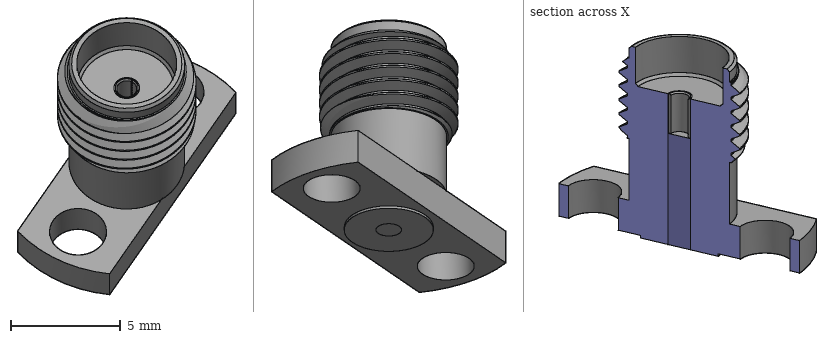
import cadquery as cq
import math

spigot_height = 0.13
flange_thickness = 1.66
flange_top = spigot_height + flange_thickness
thread_bottom = 4.88
thread_top = 8.95
overall_height = 9.58

flange_width = 4.85
flange_length = 12.66
mounting_hole_diameter = 2.6
mounting_hole_spacing = 9.02

spigot_diameter = 4.08
barrel_diameter = 5.3
rim_chamfer = 0.13
bore_diameter = 4.57
bore_depth = 1.95
bore_floor = overall_height - bore_depth
bore_floor_chamfer = 0.13

thread_pitch = 25.4 / 36
thread_diameter = 6.35
thread_root_diameter = 5.45
thread_root_radius = thread_root_diameter / 2
thread_depth = (thread_diameter - thread_root_diameter) / 2
thread_half_angle = math.radians(30)
crest_width = thread_pitch / 8
crest_height_on_x_axis = 5.845
ridge_embed = 0.02

contact_diameter = 1.17
socket_diameter = 0.91
socket_mouth_diameter = 1.05
socket_depth = 2.0
slot_width = 0.05


def cylinder(diameter, bottom, top):
    return cq.Workplane("XY").workplane(offset=bottom).circle(diameter / 2).extrude(top - bottom)


def make_flange():
    bar = cylinder(flange_length, spigot_height, flange_top).intersect(
        cq.Workplane("XY").rect(flange_width, flange_length).extrude(flange_top)
    )
    holes = (
        cq.Workplane("XY")
        .rarray(1, mounting_hole_spacing, 1, 2)
        .circle(mounting_hole_diameter / 2)
        .extrude(flange_top)
    )
    return bar.cut(holes)


def make_thread_ridge():
    """Helical ridge, trimmed at both ends by 45 degree cones that start at the root."""
    turns_below = math.ceil((crest_height_on_x_axis - thread_bottom) / thread_pitch)
    start = crest_height_on_x_axis - turns_below * thread_pitch
    turns = math.ceil((thread_top - start) / thread_pitch) + 1
    base_radius = thread_root_radius - ridge_embed
    half_crest = crest_width / 2
    half_base = half_crest + (thread_depth + ridge_embed) * math.tan(thread_half_angle)

    helix = cq.Wire.makeHelix(thread_pitch, turns * thread_pitch, thread_root_radius, cq.Vector(0, 0, start))
    ridge = (
        cq.Workplane("XZ")
        .moveTo(base_radius, start - half_base)
        .lineTo(thread_diameter / 2, start - half_crest)
        .lineTo(thread_diameter / 2, start + half_crest)
        .lineTo(base_radius, start + half_base)
        .close()
        .sweep(cq.Workplane(obj=helix), isFrenet=True)
    )
    trim = cylinder(thread_diameter + 2 * ridge_embed, thread_bottom, thread_top)
    trim = trim.edges("%CIRCLE").chamfer(thread_depth + ridge_embed)
    return ridge.intersect(trim)


def make_bore():
    bore = cylinder(bore_diameter, bore_floor, overall_height)
    return bore.faces("<Z").edges().chamfer(bore_floor_chamfer)


def make_housing():
    barrel = cylinder(barrel_diameter, flange_top, overall_height)
    barrel = barrel.faces(">Z").edges().chamfer(rim_chamfer)
    return (
        barrel.union(cylinder(thread_root_diameter, thread_bottom, thread_top))
        .union(make_thread_ridge())
        .union(make_flange())
        .union(cylinder(spigot_diameter, 0, spigot_height))
        .cut(make_bore())
        .cut(cylinder(contact_diameter, 0, bore_floor))
    )


def make_contact():
    mouth_chamfer = (socket_mouth_diameter - socket_diameter) / 2
    socket_bottom = bore_floor - socket_depth
    socketed_pin = (
        cylinder(contact_diameter, 0, bore_floor)
        .cut(cylinder(socket_diameter, socket_bottom, bore_floor))
        .faces(">Z")
        .edges(cq.selectors.RadiusNthSelector(0))
        .chamfer(mouth_chamfer)
    )
    slot = (
        cq.Workplane("XY")
        .workplane(offset=socket_bottom)
        .rect(slot_width, 2 * contact_diameter)
        .extrude(socket_depth)
    )
    return socketed_pin.cut(slot)


housing = make_housing()
contact = make_contact()

result = cq.Compound.makeCompound([housing.solids().val(), contact.solids().val()])